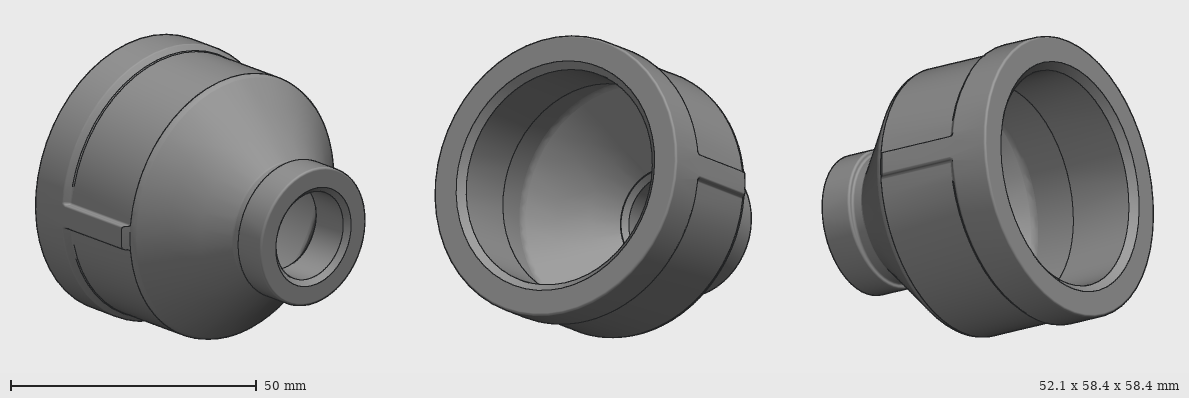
import cadquery as cq

total_length = 52.1
edge_radius = 0.495
cone_radius = 2.0

rim_r = 29.2
body_r = 28.0
neck_r = 26.8 / 2
spigot_r = 29.2 / 2
rim_length = 8.35
cone_start = 28.05
spigot_start = 45.0
rim_step = rim_r - body_r
cone_end = cone_start + body_r - neck_r

bore_r = 44.8 / 2
bore_mouth_r = 47.8 / 2
bore_depth = 15.5
relief_r = 50.4 / 2
relief_end = 27.1
outlet_r = 18.65 / 2
outlet_mouth_r = 20.9 / 2
inner_cone_end_r = 21.2 / 2
bore_chamfer = bore_mouth_r - bore_r
outlet_chamfer = outlet_mouth_r - outlet_r
inner_cone_end = relief_end + relief_r - inner_cone_end_r

rib_width = 5.0
rib_end = 27.35

margin = 0.6


def revolve_profile(points):
    """Turn a closed (x, radius) outline about the X axis."""
    return cq.Workplane("XZ").polyline(points).close().revolve(360, (0, 0, 0), (1, 0, 0))


def circle_at(x, radius):
    """Select the circular edge at a given station and radius."""
    tolerance = 0.03
    reach = radius + tolerance
    return cq.selectors.BoxSelector(
        (x - tolerance, -reach, -reach), (x + tolerance, reach, reach), boundingbox=True
    )


def make_collar_and_ribs():
    """Wide collar and plain body with full-length ribs, all their edges and corners rounded."""
    blank = revolve_profile([
        (0, 0),
        (0, rim_r),
        (rim_length, rim_r),
        (rim_length + rim_step, body_r),
        (total_length, body_r),
        (total_length, 0),
    ])
    rib_start = rim_length / 2
    ring = revolve_profile([
        (rib_start, 0),
        (rib_start, rim_r),
        (total_length, rim_r),
        (total_length, 0),
    ])
    strip = cq.Workplane("XY").box(3 * total_length, 3 * rim_r, rib_width)
    rim_and_rib_edges = cq.selectors.BoxSelector(
        (rim_length - margin, -2 * rim_r, -2 * rim_r),
        (total_length - margin, 2 * rim_r, 2 * rim_r),
    )
    return (
        blank.union(ring.intersect(strip))
        .edges(rim_and_rib_edges)
        .fillet(edge_radius)
        .edges(circle_at(0, rim_r))
        .fillet(edge_radius)
    )


def make_envelope():
    """Outer limit: leaves collar and ribs free up to the sloping rib ends, then cone, neck and spigot."""
    envelope = revolve_profile([
        (0, 0),
        (0, body_r),
        (cone_start, body_r),
        (cone_end, neck_r),
        (spigot_start, neck_r),
        (spigot_start, spigot_r),
        (total_length, spigot_r),
        (total_length, 0),
    ])
    envelope = envelope.edges(circle_at(cone_start, body_r)).fillet(cone_radius)
    for x, radius in [
        (cone_end, neck_r),
        (spigot_start, neck_r),
        (spigot_start, spigot_r),
        (total_length, spigot_r),
    ]:
        envelope = envelope.edges(circle_at(x, radius)).fillet(edge_radius)
    rib_limit = revolve_profile([
        (0, 0),
        (0, rim_r + margin),
        (rib_end - rim_step - margin, rim_r + margin),
        (rib_end + margin, body_r - margin),
        (rib_end + margin, 0),
    ])
    return envelope.union(rib_limit)


def make_cavity():
    """Through passage: thread core, undercut, inner cone and narrow thread core."""
    cavity = revolve_profile([
        (0, 0),
        (0, bore_mouth_r),
        (bore_chamfer, bore_r),
        (bore_depth, bore_r),
        (bore_depth, relief_r),
        (relief_end, relief_r),
        (inner_cone_end, inner_cone_end_r),
        (inner_cone_end, outlet_mouth_r),
        (inner_cone_end + outlet_chamfer, outlet_r),
        (total_length - outlet_chamfer, outlet_r),
        (total_length, outlet_mouth_r),
        (total_length, 0),
    ])
    return cavity.edges(circle_at(relief_end, relief_r)).fillet(cone_radius)


result = make_collar_and_ribs().intersect(make_envelope()).cut(make_cavity())